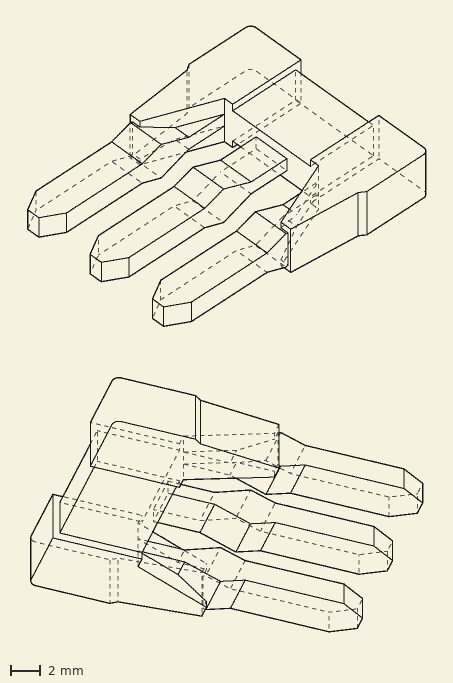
import cadquery as cq


overall_width = 17.4
overall_length = 22.78
end_height = 4.0

body_depth = 6.38
back_y = body_depth
front_end_y = back_y - overall_length

bridge_width = 7.6
bridge_height = 2.8
bridge_setback = 0.5
bridge_overlap = 1.0

corner_radius = 0.5
leg_length = 5.7
leg_tip_outer_x = 7.85
leg_tip_inner_x = 6.9
shoulder_back_y = 0.58
shoulder_front_y = 0.1
shoulder_inset = 0.33

pin_count = 3
pin_pitch = 6.1
pin_width = 3.0
pin_root_height = 1.1
pin_bulge_height = 3.1
pin_blade_height = 1.8
pin_root_end_y = -3.33
pin_bulge_y = -5.9
pin_blade_start_y = -7.66
pin_embed = 1.0
point_length = 1.68
point_width = 1.1


def make_bridge():
    """Flat bar joining the end blocks, reaching into both of them."""
    depth = body_depth - bridge_setback
    full_width = bridge_width + 2 * bridge_overlap
    return cq.Workplane("XY").box(full_width, depth, bridge_height).translate((0, depth / 2, 0))


def make_end_block():
    """Right-hand end block: a rectangular body running forward into a tapered leg."""
    outer_x = overall_width / 2
    inner_x = bridge_width / 2
    leg_root_x = pin_pitch - pin_width / 2
    outline = [
        (inner_x, back_y),
        (outer_x, back_y),
        (outer_x, shoulder_back_y),
        (outer_x - shoulder_inset, shoulder_front_y),
        (leg_tip_outer_x, -leg_length),
        (leg_tip_inner_x, -leg_length),
        (leg_root_x, 0),
        (inner_x, 0),
    ]
    block = (
        cq.Workplane("XY")
        .workplane(offset=-end_height / 2)
        .polyline(outline)
        .close()
        .extrude(end_height)
    )
    return block.edges("|Z").edges(">Y").edges(">X").fillet(corner_radius)


def make_pin():
    """Pin centred on X = 0: side profile with a bulge, trimmed by a plan outline with a blunt point."""
    upper_profile = [
        (pin_embed, pin_root_height / 2),
        (pin_root_end_y, pin_root_height / 2),
        (pin_bulge_y, pin_bulge_height / 2),
        (pin_blade_start_y, pin_blade_height / 2),
        (front_end_y, pin_blade_height / 2),
    ]
    lower_profile = [(y, -z) for y, z in reversed(upper_profile)]
    side = (
        cq.Workplane("YZ")
        .polyline(upper_profile + lower_profile)
        .close()
        .extrude(pin_width / 2, both=True)
    )

    right_edge = [
        (pin_width / 2, pin_embed),
        (pin_width / 2, front_end_y + point_length),
        (point_width / 2, front_end_y),
    ]
    left_edge = [(-x, y) for x, y in reversed(right_edge)]
    plan = (
        cq.Workplane("XY")
        .polyline(right_edge + left_edge)
        .close()
        .extrude(pin_bulge_height, both=True)
    )
    return side.intersect(plan)


right_block = make_end_block()
result = make_bridge().union(right_block).union(right_block.mirror("YZ"))

pin = make_pin()
for index in range(pin_count):
    pin_x = (index - (pin_count - 1) / 2) * pin_pitch
    result = result.union(pin.translate((pin_x, 0, 0)))